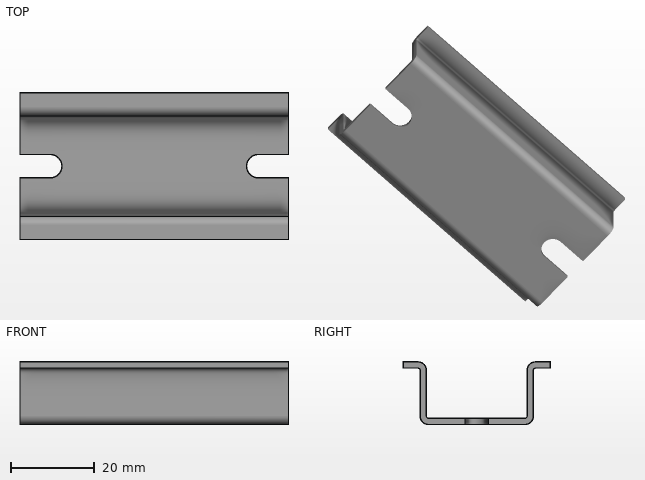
import cadquery as cq

length = 64.0
flange_width = 35.0
height = 15.0

thickness = 1.55
channel_width = 27.0
inner_radius = 0.5
outer_radius = inner_radius + thickness

slot_width = 5.5
slot_depth = 10.0


def make_rail():
    """Extrude the hat section along X, centred on the origin, floor at Z = 0."""
    half_flange = flange_width / 2
    half_channel = channel_width / 2
    half_inside = half_channel - thickness
    outline = [
        (-half_flange, height),
        (-half_inside, height),
        (-half_inside, thickness),
        (half_inside, thickness),
        (half_inside, height),
        (half_flange, height),
        (half_flange, height - thickness),
        (half_channel, height - thickness),
        (half_channel, 0),
        (-half_channel, 0),
        (-half_channel, height - thickness),
        (-half_flange, height - thickness),
    ]
    rail = cq.Workplane("YZ").polyline(outline).close().extrude(length / 2, both=True)
    for side in (-1, 1):
        inside_y = side * half_inside
        outside_y = side * half_channel
        rail = round_edge(rail, inside_y, height, outer_radius)
        rail = round_edge(rail, outside_y, 0, outer_radius)
        rail = round_edge(rail, inside_y, thickness, inner_radius)
        rail = round_edge(rail, outside_y, height - thickness, inner_radius)
    return rail


def round_edge(body, y, z, radius):
    """Round the lengthwise edge at the given Y and Z."""
    return body.edges(cq.selectors.NearestToPointSelector((0, y, z))).fillet(radius)


def slot_cutter(side):
    """Slot open at one end of the rail, with a semicircular inner end."""
    end_x = side * length / 2
    arc_x = end_x - side * (slot_depth - slot_width / 2)
    tip_x = end_x - side * slot_depth
    half_width = slot_width / 2
    return (
        cq.Workplane("XY")
        .moveTo(end_x, -half_width)
        .lineTo(arc_x, -half_width)
        .threePointArc((tip_x, 0), (arc_x, half_width))
        .lineTo(end_x, half_width)
        .close()
        .extrude(thickness)
    )


result = make_rail()
for end_side in (-1, 1):
    result = result.cut(slot_cutter(end_side))